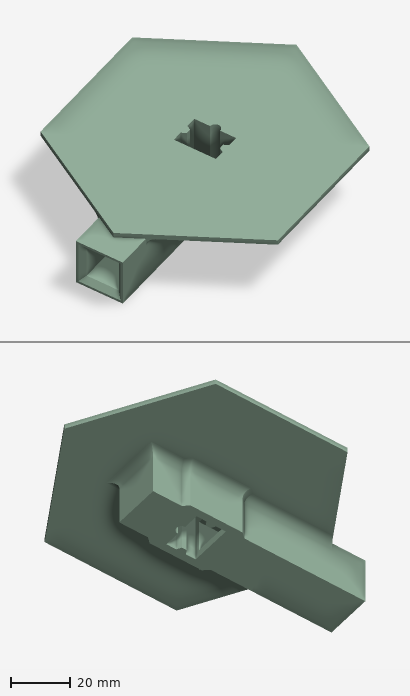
import cadquery as cq
import math

plate_width = 96.0
plate_thickness = 2.0
plate_diameter = plate_width / math.cos(math.pi / 6)

overall_length = 119.4
arm_size = 19.0
arm_front = plate_diameter / 2 - overall_length
arm_back = 25.2
flare_radius = 3.0

collar_width = 22.9
collar_flat_length = 22.0
collar_length = 26.3

bore_size = 13.0
mouth_bevel = 2.0

socket_width = 17.0
socket_length = 12.3
groove_radius = 2.0
key_depth = 1.8
key_base_width = 4.0
key_tip_width = 2.0


def make_hexagon(bottom, height):
    corners = cq.Workplane("XY").workplane(offset=bottom).transformed(rotate=(0, 0, 90))
    return corners.polygon(6, plate_diameter).extrude(height)


def make_arm():
    """Arm and collar, flared where they meet the underside of the plate."""
    half_arm = arm_size / 2
    half_collar = collar_width / 2
    right_side = [
        (half_arm, arm_front),
        (half_arm, -collar_length / 2),
        (half_collar, -collar_flat_length / 2),
        (half_collar, collar_flat_length / 2),
        (half_arm, collar_length / 2),
        (half_arm, arm_back),
    ]
    left_side = [(-x, y) for x, y in reversed(right_side)]
    straight_arm = cq.Workplane("XY").polyline(right_side + left_side).close().extrude(arm_size)

    slab_width = 2 * plate_width
    slab_length = 2 * overall_length
    slab = cq.Workplane("XY").box(slab_width, slab_length, plate_thickness, centered=(True, False, False))
    slab = slab.translate((0, arm_front, arm_size))
    root_zone = cq.selectors.BoxSelector(
        (-collar_width, arm_front + flare_radius, arm_size - plate_thickness / 2),
        (collar_width, arm_back + flare_radius, arm_size + plate_thickness / 2),
    )
    flared_arm = straight_arm.union(slab).edges(root_zone).fillet(flare_radius).cut(slab)
    return straight_arm.union(flared_arm.intersect(make_hexagon(0, arm_size)))


def make_bore():
    """Square bore from the front end of the arm to the vertical socket."""
    middle = arm_size / 2
    front = cq.Workplane("XZ", origin=(0, arm_front, middle))
    bore = front.rect(bore_size, bore_size).extrude(arm_front)
    mouth_size = bore_size + 2 * mouth_bevel
    mouth = front.rect(mouth_size, mouth_size).workplane(offset=-mouth_bevel)
    return bore.union(mouth.rect(bore_size, bore_size).loft(ruled=True))


def make_socket():
    height = arm_size + plate_thickness
    socket = cq.Workplane("XY").rect(socket_width, socket_length).extrude(height)
    groove = cq.Workplane("XY").center(0, socket_length / 2).circle(groove_radius).extrude(height)
    socket = socket.union(groove)
    wall = socket_width / 2
    tip = wall - key_depth
    for side in (-1, 1):
        key_outline = [
            (side * wall, -key_base_width / 2),
            (side * tip, -key_tip_width / 2),
            (side * tip, key_tip_width / 2),
            (side * wall, key_base_width / 2),
        ]
        socket = socket.cut(cq.Workplane("XY").polyline(key_outline).close().extrude(height))
    return socket


plate = make_hexagon(arm_size, plate_thickness)
result = make_arm().union(plate).cut(make_bore()).cut(make_socket())